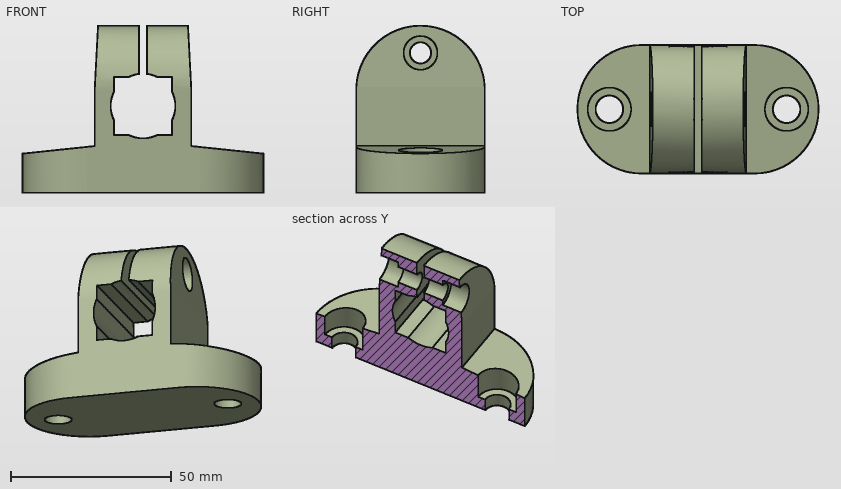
import cadquery as cq
import math

LENGTH = 75.0
WIDTH = LENGTH * 40 / 75
END_HEIGHT = 12.2
SHOULDER_ANGLE = 6.0

CLAMP_LENGTH = 30.0
HEIGHT = 52.0
CROWN_RADIUS = WIDTH / 2
CROWN_CENTER_Z = HEIGHT - CROWN_RADIUS
DRAFT_START_Z = 32.9
DRAFT_ANGLE = 3.0

BORE_Z = 27.0
BORE_SQUARE = 18.0
BORE_DIAMETER = 20.0
SLIT_WIDTH = 2.5

MOUNT_EDGE_DISTANCE = 10.0
MOUNT_SPACING = LENGTH - 2 * MOUNT_EDGE_DISTANCE
MOUNT_DIAMETER = 8.5
MOUNT_BORE_DIAMETER = 13.5
MOUNT_FLOOR_Z = 4.7

SCREW_Z = 43.5
SCREW_DIAMETER = 6.5
SCREW_BORE_DIAMETER = 10.5
SCREW_FLOOR_X = 8.0


def make_body():
    half_length = LENGTH / 2
    half_clamp = CLAMP_LENGTH / 2
    shoulder_rise = (half_length - half_clamp) * math.tan(math.radians(SHOULDER_ANGLE))
    shoulder_z = END_HEIGHT + shoulder_rise
    draft_inset = (HEIGHT - DRAFT_START_Z) * math.tan(math.radians(DRAFT_ANGLE))
    half_top = half_clamp - draft_inset
    silhouette = (
        cq.Workplane("XZ")
        .moveTo(0, 0)
        .lineTo(half_length, 0)
        .lineTo(half_length, END_HEIGHT)
        .lineTo(half_clamp, shoulder_z)
        .lineTo(half_clamp, DRAFT_START_Z)
        .lineTo(half_top, HEIGHT)
        .lineTo(0, HEIGHT)
        .mirrorY()
        .extrude(WIDTH / 2, both=True)
    )
    plan = cq.Workplane("XY").slot2D(LENGTH, WIDTH).extrude(HEIGHT)
    arch = (
        cq.Workplane("YZ")
        .moveTo(-CROWN_RADIUS, 0)
        .lineTo(CROWN_RADIUS, 0)
        .lineTo(CROWN_RADIUS, CROWN_CENTER_Z)
        .threePointArc((0, HEIGHT), (-CROWN_RADIUS, CROWN_CENTER_Z))
        .close()
        .extrude(LENGTH / 2, both=True)
    )
    return silhouette.intersect(plan).intersect(arch)


def make_bore_and_slit():
    bore_plane = cq.Workplane("XZ").center(0, BORE_Z)
    square = bore_plane.rect(BORE_SQUARE, BORE_SQUARE).extrude(WIDTH, both=True)
    circle = bore_plane.circle(BORE_DIAMETER / 2).extrude(WIDTH, both=True)
    slit = cq.Workplane("XY", origin=(0, 0, BORE_Z)).rect(SLIT_WIDTH, WIDTH).extrude(HEIGHT)
    return square.union(circle).union(slit)


def make_mounting_holes():
    centers = [(-MOUNT_SPACING / 2, 0), (MOUNT_SPACING / 2, 0)]
    through = cq.Workplane("XY").pushPoints(centers).circle(MOUNT_DIAMETER / 2).extrude(HEIGHT)
    counterbores = (
        cq.Workplane("XY", origin=(0, 0, MOUNT_FLOOR_Z))
        .pushPoints(centers)
        .circle(MOUNT_BORE_DIAMETER / 2)
        .extrude(HEIGHT)
    )
    return through.union(counterbores)


def make_screw_hole():
    screw_plane = cq.Workplane("YZ", origin=(0, 0, SCREW_Z))
    cutter = screw_plane.circle(SCREW_DIAMETER / 2).extrude(LENGTH, both=True)
    for side in (-1, 1):
        counterbore = (
            cq.Workplane("YZ", origin=(side * SCREW_FLOOR_X, 0, SCREW_Z))
            .circle(SCREW_BORE_DIAMETER / 2)
            .extrude(side * CLAMP_LENGTH)
        )
        cutter = cutter.union(counterbore)
    return cutter


result = make_body().cut(make_bore_and_slit()).cut(make_mounting_holes()).cut(make_screw_hole())